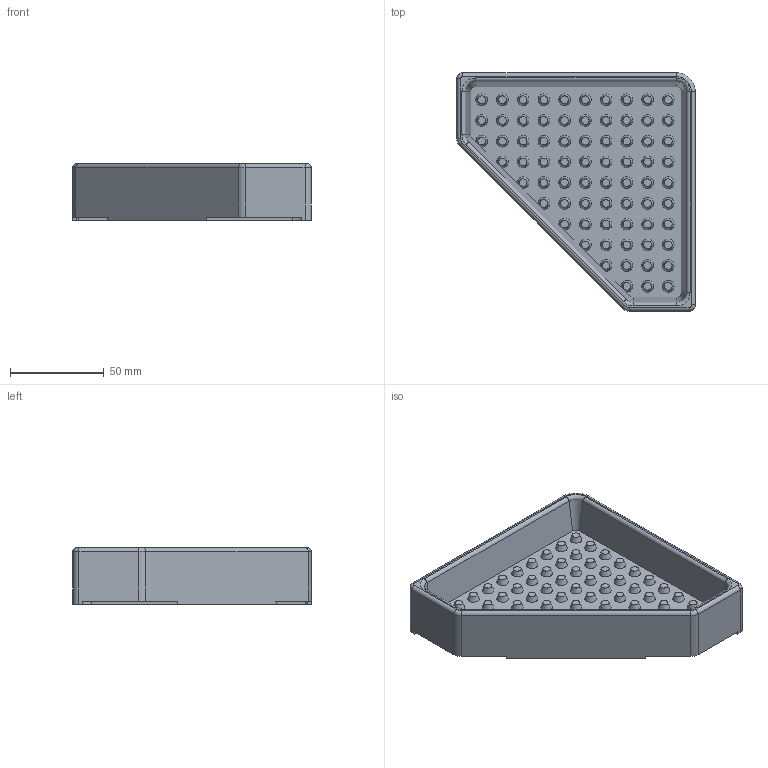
import cadquery as cq
import math

side = 126.97
height = 30.0
short_side = 37.25
back_radius = 10.2
end_radius = 3.3
diagonal_radius = 5.5
rim_radius = 2.0

rim_wall = 4.5
floor_wall = 7.35
floor_z = 10.0
pocket_corner_inset = 10.0

stud_pitch = 11.04
stud_count = 10
full_rows = 3
stud_inset = 14.35
stud_base_radius = 3.1
stud_top_radius = 2.05
stud_height = 3.0

foot_height = 1.6
foot_width = 2.0
corner_foot = 5.3
diagonal_foot = 74.1

cut_leg = side - short_side
inset_shift = math.tan(math.radians(22.5))


def rounded(face, radius, corners):
    """Round the corners of a flat face that lie at the given points."""
    chosen = [v for v in face.Vertices() if any(math.dist((v.X, v.Y), c) < 0.001 for c in corners)]
    return face.fillet2D(radius, chosen)


def outline(inset, back, ends, diagonals, z):
    """Closed outline at height z, set in from the outer walls, with its corner radii."""
    near = inset
    far = side - inset
    shifted_leg = cut_leg + inset * inset_shift
    end_corners = [(near, far), (far, near)]
    back_corner = (far, far)
    diagonal_corners = [(shifted_leg, near), (near, shifted_leg)]
    corners = [end_corners[0], back_corner, end_corners[1], *diagonal_corners]
    wire = cq.Wire.makePolygon([cq.Vector(x, y, z) for x, y in corners], close=True)
    face = cq.Face.makeFromWires(wire)
    face = rounded(face, back, [back_corner])
    face = rounded(face, ends, end_corners)
    face = rounded(face, diagonals, diagonal_corners)
    return face.outerWire()


def wall_offset_prism(inset, depth):
    """Prism on the base plane whose sides run parallel to the outer walls."""
    wire = outline(inset, back_radius - inset, end_radius - inset, diagonal_radius - inset, 0)
    return cq.Workplane(obj=cq.Solid.extrudeLinear(wire, [], cq.Vector(0, 0, depth)))


def pocket_outline(inset, z):
    radius = pocket_corner_inset - inset
    return outline(inset, radius, radius, radius, z)


def make_tray():
    block = wall_offset_prism(0, height).faces(">Z").edges().fillet(rim_radius)
    pocket = cq.Solid.makeLoft([pocket_outline(floor_wall, floor_z), pocket_outline(rim_wall, height)], True)
    tray = block.cut(cq.Workplane(obj=pocket))
    mouth = tray.faces(">Z").wires(cq.selectors.AreaNthSelector(0)).edges()
    return mouth.fillet(rim_radius)


def add_studs(tray):
    stud = cq.Solid.makeCone(stud_base_radius, stud_top_radius, stud_height)
    studs = []
    for row in range(stud_count):
        row_length = stud_count - max(0, row - full_rows + 1)
        for place in range(row_length):
            x = side - stud_inset - place * stud_pitch
            y = side - stud_inset - row * stud_pitch
            studs.append(stud.translate(cq.Vector(x, y, floor_z)))
    return cq.Workplane(obj=tray.val().fuse(*studs))


def gap_box():
    """Cutter for the ring gap on the -X side, reaching well inside the ring."""
    gap_start = (cut_leg + diagonal_foot / math.sqrt(2)) / 2
    gap_length = side - corner_foot - gap_start
    return cq.Workplane().box(cut_leg / 2, gap_length, foot_height, centered=False).translate((0, gap_start, 0))


def cut_foot_ring(tray):
    tray = tray.cut(wall_offset_prism(foot_width, foot_height))
    left_gap = gap_box()
    front_gap = left_gap.rotate((0, 0, 0), (1, 1, 0), 180).translate((0, 0, foot_height))
    return tray.cut(left_gap).cut(front_gap)


result = cut_foot_ring(add_studs(make_tray()))